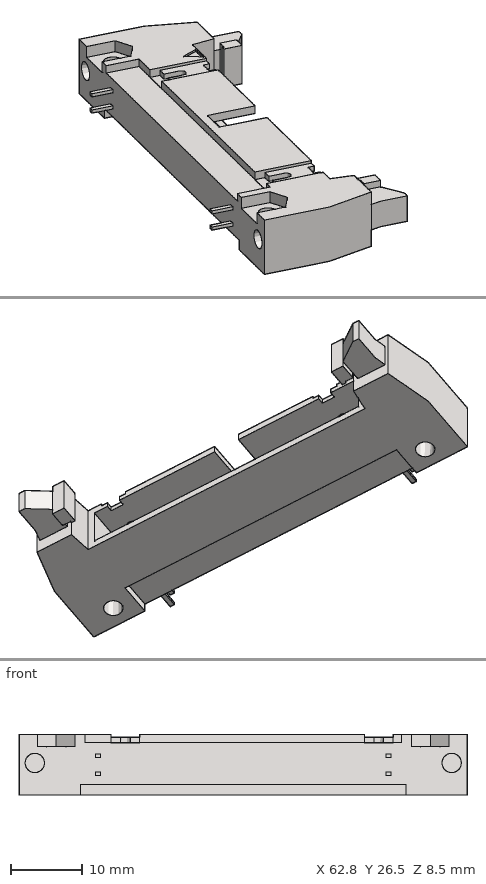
import cadquery as cq


ROOT_OVERLAP = 0.5

HALF_LENGTH = 31.4
HEIGHT = 8.5
MID_Z = HEIGHT / 2
MATING_FACE_Y = 13.75
LUG_TOP_Y = 17.3
LUG_TAPER_START_Y = 10.0
LUG_TOP_OUTER_X = 29.5
LUG_TOP_INNER_X = 23.7
LUG_BASE_INNER_X = 23.25

WALL = 1.2
CAVITY_FLOOR_Y = 7.5
CAVITY_HALF_LENGTH = 22.2

LEDGE_Y = 5.05
TOP_LEDGE_DEPTH = 1.15
TOP_LEDGE_HALF_LENGTH = 22.2
BOTTOM_LEDGE_HALF_LENGTH = 22.8
BOTTOM_LEDGE_DEPTH = 1.5

NOTCH_WIDTH = 4.0
NOTCH_END_Y = 6.4

CHANNEL_CENTERS_X = (-16.5, 19.0)
CHANNEL_WIDTH = 4.0
CHANNEL_DEPTH = 0.4
CHANNEL_STEP_Y = 6.6
SLOT_WIDTH = 1.35
SLOT_END_Y = 9.65
RIM_NOTCH_WIDTH = 2.0
RIM_NOTCH_DEPTH = 0.95

MARK_CENTER_X = -20.4
MARK_WIDTH = 2.6
MARK_TOP_Y = 13.55
MARK_TIP_Y = 11.1
MARK_DEPTH = 0.3

POCKET_CENTER_X = 26.2
POCKET_HALF_WIDTH = 2.65
POCKET_SHOULDER_Y = 4.4
POCKET_TIP_Y = 5.9
POCKET_DEPTH = 1.7
HOLE_DIAMETER = 2.7
MOUNT_HOLE_Y = 2.9
FACE_HOLE_X = 29.2
FACE_HOLE_Z = 4.5
FACE_HOLE_DEPTH = 6.0

LATCH_TOP_Y = 23.3
LATCH_OUTER_X = 28.55
LATCH_TIP_X = 27.55
LATCH_INNER_X = 24.4
LATCH_ROOT_OUTER_X = 29.0
LATCH_BEND_Y = 19.2
LATCH_WIDTH = 4.0
HOOK_TOP_Y = 21.05
HOOK_TIP_X = 22.45
HOOK_LIP_X = 23.1
HOOK_LIP_Y = 18.25
HOOK_UNDERSIDE_Y = 18.5
HOOK_WIDTH = 6.0

PIN_PITCH = 2.54
PIN_COLUMNS = 17
PIN_WIDTH = 0.7
PIN_THICKNESS = 0.5
PIN_LENGTH = 3.2


def box(x_min, x_max, y_min, y_max, z_min, z_max):
    """Axis-aligned block between the given limits."""
    return (
        cq.Workplane("XY")
        .box(x_max - x_min, y_max - y_min, z_max - z_min, centered=False)
        .translate((x_min, y_min, z_min))
    )


def prism(points, z_min, z_max):
    """Closed XY outline extruded from z_min to z_max."""
    return (
        cq.Workplane("XY")
        .workplane(offset=z_min)
        .polyline(points)
        .close()
        .extrude(z_max - z_min)
    )


def mirrored(points, side):
    """Outline points given for the +X end, placed on the chosen side."""
    return [(side * x, y) for x, y in points]


def body():
    right_half = [
        (HALF_LENGTH, 0),
        (HALF_LENGTH, LUG_TAPER_START_Y),
        (LUG_TOP_OUTER_X, LUG_TOP_Y),
        (LUG_TOP_INNER_X, LUG_TOP_Y),
        (LUG_BASE_INNER_X, MATING_FACE_Y),
    ]
    outline = right_half + mirrored(reversed(right_half), -1)
    return prism(outline, 0, HEIGHT)


def cavity():
    return box(
        -CAVITY_HALF_LENGTH, CAVITY_HALF_LENGTH,
        CAVITY_FLOOR_Y, MATING_FACE_Y,
        WALL, HEIGHT - WALL,
    )


def top_ledge():
    return box(
        -TOP_LEDGE_HALF_LENGTH, TOP_LEDGE_HALF_LENGTH,
        0, LEDGE_Y,
        HEIGHT - TOP_LEDGE_DEPTH, HEIGHT,
    )


def bottom_ledge():
    return box(
        -BOTTOM_LEDGE_HALF_LENGTH, BOTTOM_LEDGE_HALF_LENGTH,
        0, LEDGE_Y,
        0, BOTTOM_LEDGE_DEPTH,
    )


def upper_wall_cut(center_x, width, y_min, y_max, depth=WALL):
    """Rectangular cut of the given depth from the top face."""
    return box(
        center_x - width / 2, center_x + width / 2,
        y_min, y_max,
        HEIGHT - depth, HEIGHT,
    )


def channel(center_x):
    """Shallow channel with a deep foot, a round-ended slot and a rim notch."""
    floor = upper_wall_cut(center_x, CHANNEL_WIDTH, LEDGE_Y, MATING_FACE_Y, CHANNEL_DEPTH)
    foot = upper_wall_cut(center_x, CHANNEL_WIDTH, LEDGE_Y, CHANNEL_STEP_Y)
    slot_arc_y = SLOT_END_Y - SLOT_WIDTH / 2
    slot = upper_wall_cut(center_x, SLOT_WIDTH, CHANNEL_STEP_Y, slot_arc_y)
    slot_end = (
        cq.Workplane("XY")
        .workplane(offset=HEIGHT - WALL)
        .center(center_x, slot_arc_y)
        .circle(SLOT_WIDTH / 2)
        .extrude(WALL)
    )
    rim_notch = upper_wall_cut(
        center_x, RIM_NOTCH_WIDTH, MATING_FACE_Y - RIM_NOTCH_DEPTH, MATING_FACE_Y
    )
    return floor.union(foot).union(slot).union(slot_end).union(rim_notch)


def pin_one_mark():
    outline = [
        (MARK_CENTER_X - MARK_WIDTH / 2, MARK_TOP_Y),
        (MARK_CENTER_X + MARK_WIDTH / 2, MARK_TOP_Y),
        (MARK_CENTER_X, MARK_TIP_Y),
    ]
    return prism(outline, HEIGHT - MARK_DEPTH, HEIGHT)


def mounting_cuts(side):
    """Nut pocket, its vertical through hole and the blind hole in the solder face."""
    outline = [
        (POCKET_CENTER_X - POCKET_HALF_WIDTH, 0),
        (POCKET_CENTER_X + POCKET_HALF_WIDTH, 0),
        (POCKET_CENTER_X + POCKET_HALF_WIDTH, POCKET_SHOULDER_Y),
        (POCKET_CENTER_X, POCKET_TIP_Y),
        (POCKET_CENTER_X - POCKET_HALF_WIDTH, POCKET_SHOULDER_Y),
    ]
    pocket = prism(mirrored(outline, side), HEIGHT - POCKET_DEPTH, HEIGHT)
    through_hole = (
        cq.Workplane("XY")
        .center(side * POCKET_CENTER_X, MOUNT_HOLE_Y)
        .circle(HOLE_DIAMETER / 2)
        .extrude(HEIGHT)
    )
    face_hole = (
        cq.Workplane("XZ")
        .center(side * FACE_HOLE_X, FACE_HOLE_Z)
        .circle(HOLE_DIAMETER / 2)
        .extrude(-FACE_HOLE_DEPTH)
    )
    return pocket.union(through_hole).union(face_hole)


def latch(side):
    """Latch arm rising from the lug, with a wider hook facing the cavity."""
    root_y = LUG_TOP_Y - ROOT_OVERLAP
    arm = [
        (LATCH_INNER_X, root_y),
        (LATCH_ROOT_OUTER_X, root_y),
        (LATCH_ROOT_OUTER_X, LUG_TOP_Y),
        (LATCH_OUTER_X, LATCH_BEND_Y),
        (LATCH_OUTER_X, LATCH_TOP_Y),
        (LATCH_TIP_X, LATCH_TOP_Y),
        (LATCH_INNER_X, HOOK_TOP_Y),
    ]
    hook = [
        (LATCH_INNER_X, HOOK_TOP_Y),
        (HOOK_TIP_X, HOOK_TOP_Y),
        (HOOK_TIP_X, HOOK_LIP_Y),
        (HOOK_LIP_X, HOOK_LIP_Y),
        (HOOK_LIP_X, HOOK_UNDERSIDE_Y),
        (LATCH_INNER_X, HOOK_UNDERSIDE_Y),
    ]
    arm_solid = prism(mirrored(arm, side), MID_Z - LATCH_WIDTH / 2, MID_Z + LATCH_WIDTH / 2)
    hook_solid = prism(mirrored(hook, side), MID_Z - HOOK_WIDTH / 2, MID_Z + HOOK_WIDTH / 2)
    return arm_solid.union(hook_solid)


def end_pins(side):
    """The two stacked pins of the outermost column."""
    center_x = side * PIN_PITCH * (PIN_COLUMNS - 1) / 2
    pins = cq.Workplane("XY")
    for row in (-1, 1):
        center_z = MID_Z + row * PIN_PITCH / 2
        pins = pins.union(box(
            center_x - PIN_WIDTH / 2, center_x + PIN_WIDTH / 2,
            -PIN_LENGTH, ROOT_OVERLAP,
            center_z - PIN_THICKNESS / 2, center_z + PIN_THICKNESS / 2,
        ))
    return pins


result = body().cut(cavity()).cut(top_ledge()).cut(bottom_ledge())
result = result.cut(upper_wall_cut(0, NOTCH_WIDTH, NOTCH_END_Y, MATING_FACE_Y))
result = result.cut(pin_one_mark())
for channel_x in CHANNEL_CENTERS_X:
    result = result.cut(channel(channel_x))
for end in (-1, 1):
    result = result.cut(mounting_cuts(end)).union(latch(end)).union(end_pins(end))